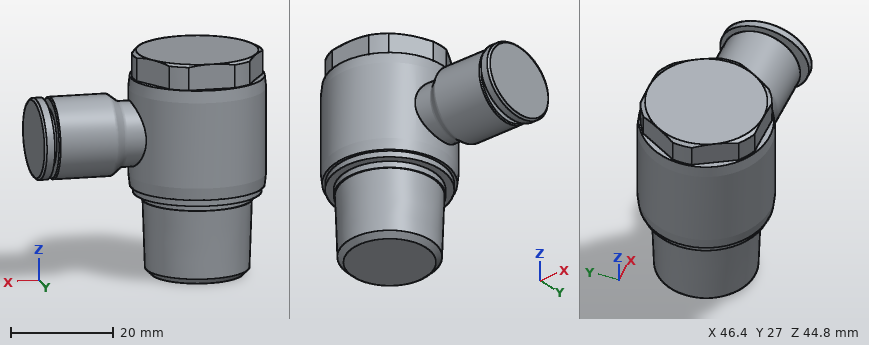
import cadquery as cq
import math

total_length = 46.4
total_height = 44.8

thread_tip_radius = 9.05
thread_bottom_radius = 10.25
thread_top_radius = 10.7
thread_collar_radius = 10.95
washer_radius = 12.6
body_end_radius = 13.22
body_radius = 13.5
thread_chamfer_height = 1.2
thread_top = 15.1
thread_collar_top = 16.45
washer_top = 17.8
body_height = 22.0
taper_height = 2.4
body_top = washer_top + body_height

hex_across_flats = 24.0
hex_turn = 30
hex_corner_radius = 12.85
hex_top_radius = 11.95
hex_chamfer_angle = 25

branch_height = 28.8
neck_radius = 6.5
barrel_radius = 8.1
neck_end = 15.85
barrel_start = 17.95
barrel_end = 29.7
barrel_chamfer = 0.3
shoulder_fillet = 0.9
stem_radius = 5.9

collar_start = 30.9
collar_end = total_length - body_radius
collar_width = 18.65
collar_height = 16.0
collar_chamfer = 0.4


def make_body():
    """Tapered thread, washer and barrel-shaped body turned about Z."""
    return (
        cq.Workplane("XZ")
        .lineTo(thread_tip_radius, 0)
        .lineTo(thread_bottom_radius, thread_chamfer_height)
        .lineTo(thread_top_radius, thread_top)
        .lineTo(thread_collar_radius, thread_top)
        .lineTo(thread_collar_radius, thread_collar_top)
        .lineTo(washer_radius, thread_collar_top)
        .lineTo(washer_radius, washer_top)
        .lineTo(body_end_radius, washer_top)
        .lineTo(body_radius, washer_top + taper_height)
        .lineTo(body_radius, body_top - taper_height)
        .lineTo(body_end_radius, body_top)
        .lineTo(0, body_top)
        .close()
        .revolve(360, (0, 0, 0), (0, 1, 0))
    )


def make_head():
    """Hexagon trimmed by a cylinder that is chamfered at the top."""
    head_height = total_height - body_top
    chamfer_width = hex_corner_radius - hex_top_radius
    chamfer_height = chamfer_width * math.tan(math.radians(hex_chamfer_angle))
    hexagon = (
        cq.Workplane("XY", origin=(0, 0, body_top))
        .transformed(rotate=(0, 0, hex_turn))
        .polygon(6, hex_across_flats, circumscribed=True)
        .extrude(head_height)
    )
    round_blank = (
        cq.Workplane("XY", origin=(0, 0, body_top))
        .circle(hex_corner_radius)
        .extrude(head_height)
        .faces(">Z")
        .chamfer(chamfer_height, chamfer_width)
    )
    return hexagon.intersect(round_blank)


def make_branch():
    """Neck, flared shoulder, barrel and stem turned about the branch axis."""
    turned = (
        cq.Workplane("XZ", origin=(0, 0, branch_height))
        .lineTo(0, neck_radius)
        .lineTo(neck_end, neck_radius)
        .lineTo(barrel_start, barrel_radius)
        .lineTo(barrel_end - barrel_chamfer, barrel_radius)
        .lineTo(barrel_end, barrel_radius - barrel_chamfer)
        .lineTo(barrel_end, stem_radius)
        .lineTo(collar_start, stem_radius)
        .lineTo(collar_start, 0)
        .close()
        .revolve(360, (0, 0, 0), (1, 0, 0))
    )
    shoulder_edges = cq.selectors.BoxSelector(
        (neck_radius, -neck_radius, branch_height - neck_radius),
        (barrel_start + shoulder_fillet, neck_radius, branch_height + neck_radius),
    )
    return turned.edges(shoulder_edges).edges("%CIRCLE").fillet(shoulder_fillet)


def make_collar():
    """Elliptical release collar with a chamfered outer rim."""
    return (
        cq.Workplane("YZ", origin=(collar_start, 0, branch_height))
        .ellipse(collar_width / 2, collar_height / 2)
        .extrude(collar_end - collar_start)
        .faces(">X")
        .chamfer(collar_chamfer)
    )


result = make_body().union(make_head()).union(make_branch()).union(make_collar())